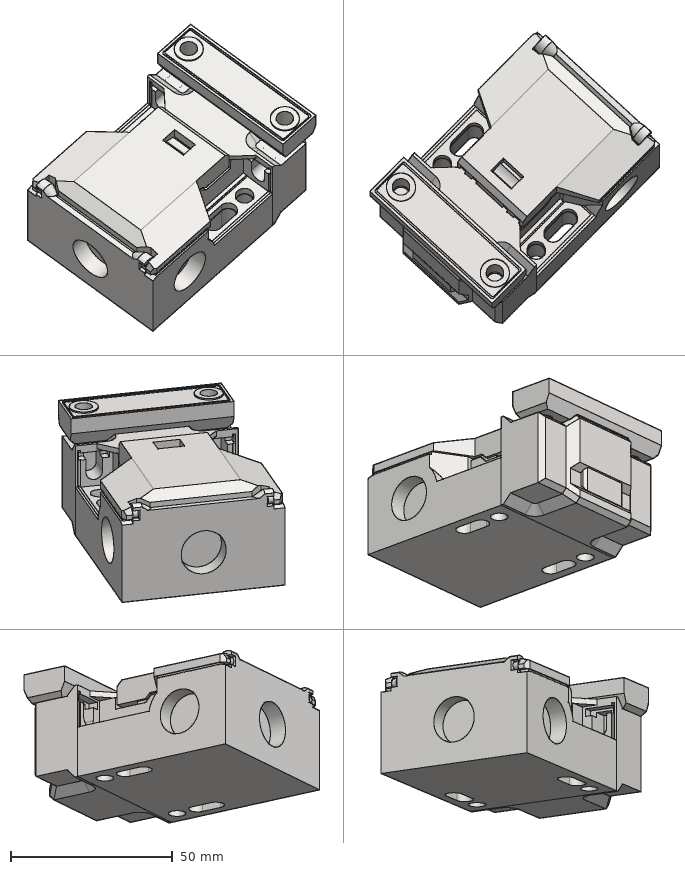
import cadquery as cq
import math


width = 52.2
length = 75.0
half_width = width / 2
split_y = 55.05
head_top_z = 30.0
slope_angle = 45.0

rim_z = 26.5
rear_step_z = 28.2
rear_step_y = 49.05
channel_z = 24.4
channel_front_y = 37.9
wall_x = 13.95
pocket_floor_z = 16.2
slant_outer_y = 25.5
slant_inner_y = 31.8
slant_inner_x = 15.2

screw_x = 20.0
mount_hole_y = 48.9
mount_hole_diameter = 5.7
mount_slot_y = 37.95
mount_slot_length = 12.45
mount_ledge = 0.15
mount_ledge_z = 13.2

floor_step_x = 25.3
floor_panel_x = 24.4
floor_panel_inner_x = 15.7
floor_step_inner_x = 15.2
floor_panel_y = 28.95
floor_step = 0.11

conduit_z = 13.95
conduit_y = 17.0
conduit_diameter = 14.4
conduit_depth = 5.6
conduit_boss_radius = 11.6

hinge_y = 1.8
hinge_z = 28.65
knuckle_radius = 3.2
knuckle_outer_x = 22.6
knuckle_inner_x = 19.65
cone_tip_x = 16.35
cone_tip_radius = 1.35
knuckle_clearance_y = 5.9
knuckle_clearance_x = 19.95
pin_radius = 1.4
pin_slot_radius = 1.65
pin_tip_x = 20.85
pin_slot_x = 20.4
rail_crest_y = 1.95
rail_back_y = 3.4

cover_half_width = 25.8
cover_bottom_z = 27.3
cover_edge_z = 30.0
cover_top_z = 33.5
cover_front_y = 0.5
cover_top_x = 13.95
cover_rear_y = 48.5
cover_slant_y = 26.8
cover_slant_inner_y = 33.45
cover_tongue_z = 25.65
cover_rear_chamfer = 1.9
front_slope_y = 7.9
front_slope_z = 31.1
lip_inset = 0.6
lip_front_y = 1.95
corner_bevel_height = 0.5
lip_tongue_half_width = 13.05
lip_rear_y = 41.5

window_half_width = 4.3
window_y = (38.1, 43.6)
window_floor_z = 29.8
latch_y = (39.5, 42.75)
latch_height = 0.75
latch_rise = 1.1

head_chamfer = 1.6
wing_drop = 3.0
wing_x = 14.85
wing_front_y = 59.0
recess_corner_radius = 1.2
tongue_half_width = 19.1
rib_spans = [(5.6, 7.5), (10.4, 12.6)]
seat_half_width = 4.9
seat_bottom_z = 25.05
seat_slot_top_z = 27.45
seat_slot_depth = 3.0
seat_channel_width = 5.3
seat_channel_z = 18.1
seat_channel_top_z = 26.6
seat_channel_depth = 7.5
groove_depth = 0.4
rear_groove_z = (4.1, 13.4)
rear_groove_depth = 2.1
plug_half_width = 9.0
plug_z = (5.2, 13.1)
plug_gap = 0.3
plug_bevel = 1.05

actuator_bottom_z = 27.75
actuator_top_z = 37.1
actuator_width = 15.15
actuator_taper_z = 32.1
actuator_taper = 2.0
actuator_end_chamfer = 1.6
key_groove = (50.4, 13.2)
key_groove_end_width = 0.3
key_groove_side_width = 0.6
key_groove_depth = 0.2
key_groove_radius = 0.6
bushing_diameter = 9.0
bushing_bore = 5.3
bushing_top_z = 37.6
bushing_seat_z = actuator_bottom_z + actuator_end_chamfer
actuator_y = length - actuator_width / 2

SIDES = (-1, 1)


def box(x0, x1, y0, y1, z0, z1):
    """Box between two corners; each pair may be given in either order."""
    size = (abs(x1 - x0), abs(y1 - y0), abs(z1 - z0))
    corner = (min(x0, x1), min(y0, y1), min(z0, z1))
    return cq.Workplane("XY").box(*size, centered=False).translate(corner)


def prism_along_x(points, x0, x1):
    """Prism of a (y, z) outline between two x values."""
    return cq.Workplane("YZ").workplane(offset=x0).polyline(points).close().extrude(x1 - x0)


def plate(points, z0, z1):
    """Prism of an (x, y) outline between two z values."""
    return cq.Workplane("XY").workplane(offset=z0).polyline(points).close().extrude(z1 - z0)


def rod_along_x(y, z, radius, x0, x1):
    """Cylinder along X between two x values."""
    return cq.Workplane("YZ", origin=(x0, y, z)).circle(radius).extrude(x1 - x0)


def both_sides(right):
    """A feature built on the +X side together with its mirror image."""
    return right.union(right.mirror("YZ"))


def symmetric(right_points):
    """Closed outline from its right half, mirrored about x = 0."""
    return right_points + [(-x, y) for x, y in reversed(right_points)]


def cover_outline():
    return symmetric([
        (cover_half_width, cover_front_y),
        (cover_half_width, cover_slant_y),
        (cover_top_x, cover_slant_inner_y),
        (cover_top_x, cover_rear_y),
    ])


def cover_body():
    """Roofed body with sloping sides and a tongue that dips at the rear."""
    roof = (
        cq.Workplane("XZ")
        .polyline(symmetric([
            (cover_half_width, cover_tongue_z),
            (cover_half_width, cover_edge_z),
            (cover_top_x, cover_top_z),
        ]))
        .close()
        .extrude(-length)
    )
    dip = cover_bottom_z - cover_tongue_z
    side = prism_along_x([
        (cover_front_y, cover_bottom_z),
        (channel_front_y - dip, cover_bottom_z),
        (channel_front_y, cover_tongue_z),
        (cover_rear_y, cover_tongue_z),
        (cover_rear_y, cover_top_z - cover_rear_chamfer),
        (cover_rear_y - cover_rear_chamfer, cover_top_z),
        (cover_front_y, cover_top_z),
    ], -half_width, half_width)
    return plate(cover_outline(), cover_tongue_z, cover_top_z).intersect(roof).intersect(side)


def cover_front_cuts():
    """Front slope, hinge rail clearance and clearances round the knuckles."""
    slope = prism_along_x([
        (front_slope_y, cover_top_z),
        (rail_back_y, front_slope_z),
        (rail_back_y, cover_bottom_z),
        (0, cover_bottom_z),
        (0, cover_top_z),
    ], -knuckle_outer_x, knuckle_outer_x)
    knuckle_room = plate([
        (cone_tip_x, 0),
        (knuckle_outer_x, 0),
        (knuckle_outer_x, knuckle_clearance_y),
        (knuckle_clearance_x, knuckle_clearance_y),
        (cone_tip_x, rail_back_y),
    ], cover_bottom_z, cover_top_z)
    return slope.union(both_sides(knuckle_room))


def cover_corner_cuts():
    """Bevelled front faces and outer corners beside the hinge."""
    bevel_y = 1.8
    bevel_z = (28.7, 30.75)
    bevel = prism_along_x([
        (cover_front_y, bevel_z[0]),
        (bevel_y, bevel_z[1]),
        (bevel_y, cover_top_z),
        (cover_front_y, cover_top_z),
    ], knuckle_outer_x, half_width)
    corner_x = 24.6
    corner_y = 2.2
    corner = plate([
        (corner_x, cover_front_y),
        (cover_half_width, corner_y),
        (cover_half_width, cover_front_y),
    ], cover_bottom_z, cover_top_z)
    return both_sides(bevel.union(corner))


def latch_window():
    """Window pocket that leaves a latch bar with a concave ramp on its floor."""
    pocket = box(-window_half_width, window_half_width, *window_y, window_floor_z, cover_top_z)
    low_z = window_floor_z + latch_height
    ramp_length = latch_y[1] - latch_y[0]
    ramp_radius = (ramp_length**2 + latch_rise**2) / (2 * latch_rise)
    bar = (
        cq.Workplane("YZ")
        .workplane(offset=-window_half_width)
        .moveTo(latch_y[1], window_floor_z)
        .lineTo(latch_y[1], low_z)
        .radiusArc((latch_y[0], low_z + latch_rise), ramp_radius)
        .lineTo(latch_y[0], window_floor_z)
        .close()
        .extrude(2 * window_half_width)
    )
    return pocket.cut(bar)


def make_cover():
    pin = rod_along_x(hinge_y, hinge_z, pin_radius, pin_tip_x, knuckle_outer_x)
    return (
        cover_body()
        .cut(cover_front_cuts())
        .cut(cover_corner_cuts())
        .cut(latch_window())
        .union(both_sides(pin))
    )


def housing_block():
    """Stepped block with the channel below the cover tongue."""
    drop = rim_z - channel_z
    return prism_along_x([
        (0, 0),
        (split_y, 0),
        (split_y, rear_step_z),
        (rear_step_y, rear_step_z),
        (rear_step_y, channel_z),
        (channel_front_y, channel_z),
        (channel_front_y - drop, rim_z),
        (0, rim_z),
    ], -half_width, half_width)


def mounting_pocket():
    """Open side pocket with a slanted front wall, a stepped floor and the conduit boss left in it."""
    pocket = plate([
        (half_width, slant_outer_y),
        (slant_inner_x, slant_inner_y),
        (wall_x, slant_inner_y),
        (wall_x, split_y),
        (half_width, split_y),
    ], pocket_floor_z, rear_step_z)
    boss = rod_along_x(conduit_y, conduit_z, conduit_boss_radius, wall_x, half_width)
    boss_rear_y = conduit_y + math.sqrt(
        conduit_boss_radius**2 - (pocket_floor_z - conduit_z) ** 2
    )
    shelf = box(
        floor_step_inner_x, floor_step_x,
        boss_rear_y, split_y,
        pocket_floor_z - floor_step, pocket_floor_z,
    )
    panel = box(
        floor_panel_inner_x, floor_panel_x,
        floor_panel_y, split_y,
        pocket_floor_z - 2 * floor_step, pocket_floor_z,
    )
    return pocket.cut(boss).union(shelf).union(panel)


def mounting_holes():
    """Round hole and slot, both slightly narrower in the lower part of the base."""
    def holes(diameter, top_z):
        base = cq.Workplane("XY")
        hole = base.center(screw_x, mount_hole_y).circle(diameter / 2).extrude(top_z)
        slot_length = mount_slot_length - mount_hole_diameter + diameter
        slot = base.center(screw_x, mount_slot_y).slot2D(slot_length, diameter, 90).extrude(top_z)
        return hole.union(slot)

    narrow = holes(mount_hole_diameter - 2 * mount_ledge, pocket_floor_z)
    wide = holes(mount_hole_diameter, pocket_floor_z)
    lower_part = box(0, half_width, 0, split_y, 0, mount_ledge_z)
    return narrow.union(wide.cut(lower_part))


def conduit_entries():
    """Blind round entries in the front face and in both side faces."""
    radius = conduit_diameter / 2
    front = cq.Workplane("XZ").center(0, conduit_z).circle(radius).extrude(-conduit_depth)
    side = rod_along_x(conduit_y, conduit_z, radius, half_width - conduit_depth, half_width)
    return front.union(both_sides(side))


def hinge_rail():
    """Rail along the front edge that ends in cones and slotted knuckles."""
    drop = rail_back_y - rail_crest_y
    rail = prism_along_x([
        (0, rim_z),
        (0, head_top_z),
        (rail_crest_y, head_top_z),
        (rail_back_y, head_top_z - drop),
        (rail_back_y, rim_z),
    ], -knuckle_outer_x, knuckle_outer_x)
    knuckle = rod_along_x(hinge_y, hinge_z, knuckle_radius, knuckle_inner_x, knuckle_outer_x)
    cone = cq.Workplane(cq.Solid.makeCone(
        cone_tip_radius, knuckle_radius, knuckle_inner_x - cone_tip_x,
        cq.Vector(cone_tip_x, hinge_y, hinge_z), cq.Vector(1, 0, 0),
    ))
    envelope = box(-half_width, half_width, 0, split_y, rim_z, cover_top_z)
    ends = both_sides(knuckle.union(cone)).intersect(envelope)
    pin_bore = rod_along_x(hinge_y, hinge_z, pin_slot_radius, pin_slot_x, knuckle_outer_x)
    pin_mouth = box(
        pin_slot_x, knuckle_outer_x, 0, hinge_y,
        hinge_z - pin_slot_radius, hinge_z + pin_slot_radius,
    )
    return rail.union(ends).cut(both_sides(pin_bore.union(pin_mouth)))


def sealing_lip():
    """Inset lip that fills the joint between the housing rim and the cover."""
    slant_rise = (slant_inner_y - slant_outer_y) / (half_width - slant_inner_x)
    outline = symmetric([
        (half_width - lip_inset, lip_front_y),
        (half_width - lip_inset, slant_outer_y + lip_inset * slant_rise),
        (slant_inner_x, slant_inner_y),
        (lip_tongue_half_width, slant_inner_y),
        (lip_tongue_half_width, lip_rear_y),
    ])
    return plate(outline, channel_z, cover_bottom_z)


def make_housing(cover):
    corner_bevel = prism_along_x(
        [(0, rim_z), (lip_front_y, rim_z), (0, rim_z - corner_bevel_height)],
        knuckle_outer_x, half_width,
    )
    return (
        housing_block()
        .union(sealing_lip())
        .union(hinge_rail())
        .cut(both_sides(mounting_pocket()))
        .cut(both_sides(mounting_holes()))
        .cut(conduit_entries())
        .cut(both_sides(corner_bevel))
        .cut(cover)
    )


def head_profile(shift, front_y):
    """Side outline with chamfered rear corners, moved inwards by shift."""
    rear_y = length - shift
    low_z = shift
    high_z = head_top_z - shift
    return [
        (front_y, low_z),
        (rear_y - head_chamfer, low_z),
        (rear_y, low_z + head_chamfer),
        (rear_y, high_z - head_chamfer),
        (rear_y - head_chamfer, high_z),
        (front_y, high_z),
    ]


def head_rear(front_y):
    """Full-height centre, sloped shoulders and lower wings."""
    shoulder_x = wing_x - wing_drop
    centre = prism_along_x(head_profile(0, front_y), -shoulder_x, shoulder_x)
    shoulder = (
        cq.Workplane("YZ").workplane(offset=shoulder_x)
        .polyline(head_profile(0, front_y)).close()
        .workplane(offset=wing_drop)
        .polyline(head_profile(wing_drop, front_y)).close()
        .loft(ruled=True)
    )
    wing = prism_along_x(head_profile(wing_drop, front_y), wing_x, half_width)
    wing_rear_y = length - wing_drop
    wing_bevel = plate([
        (half_width, wing_rear_y - head_chamfer),
        (half_width, wing_rear_y),
        (half_width - head_chamfer, wing_rear_y),
    ], 0, head_top_z)
    return centre.union(both_sides(shoulder.union(wing).cut(wing_bevel)))


def key_recess():
    """Flared recess with a rounded corner above one wing."""
    reach = half_width
    return (
        cq.Workplane("XY", origin=(wing_x + reach / 2, wing_front_y + reach / 2, head_top_z - wing_drop))
        .sketch().rect(reach, reach).vertices().fillet(recess_corner_radius).finalize()
        .extrude(wing_drop, taper=-slope_angle)
    )


def head_front(rear_y):
    """Full-width front slab with the flared key recesses above and below each wing."""
    slab = box(-half_width, half_width, split_y, rear_y, 0, head_top_z)
    upper = both_sides(key_recess())
    lower = upper.mirror("XY").translate((0, 0, head_top_z))
    return slab.cut(upper).cut(lower)


def tongue():
    """Roof plate that covers the rear of the housing, with small ribs against the cover."""
    tip_half_width = tongue_half_width - (split_y - rear_step_y)
    outline = symmetric([(tongue_half_width, split_y), (tip_half_width, rear_step_y)])
    roof = plate(outline, rear_step_z, head_top_z)
    for start, end in rib_spans:
        rib = box(start, end, cover_rear_y, rear_step_y, rear_step_z, head_top_z)
        roof = roof.union(both_sides(rib))
    return roof


def screw_seat():
    """Keyhole-shaped seat in the front face and the upright groove beside it."""
    radius = seat_channel_width / 2
    axis_z = seat_channel_z + radius
    channel_rear_y = split_y + seat_channel_depth
    slot = box(
        screw_x - seat_half_width, screw_x + seat_half_width,
        split_y, split_y + seat_slot_depth,
        seat_bottom_z, seat_slot_top_z,
    )
    channel = box(
        screw_x - radius, screw_x + radius, split_y, channel_rear_y, axis_z, seat_channel_top_z
    )
    bottom = (
        cq.Workplane("XZ", origin=(screw_x, split_y, axis_z))
        .circle(radius).extrude(-seat_channel_depth)
    )
    groove = box(
        floor_panel_x, floor_step_x,
        split_y, split_y + groove_depth,
        pocket_floor_z, rear_step_z,
    )
    return slot.union(channel).union(bottom).union(groove)


def rear_groove():
    """Bevelled groove across the rear face with a central plug left in it."""
    low_z, high_z = rear_groove_z
    floor_y = length - rear_groove_depth
    groove = prism_along_x([
        (length, low_z),
        (floor_y, low_z + rear_groove_depth),
        (floor_y, high_z - rear_groove_depth),
        (length, high_z),
    ], -half_width, half_width)
    depth = rear_groove_depth - plug_gap
    plug = prism_along_x([
        (length - plug_gap, plug_z[0]),
        (floor_y, plug_z[0] + depth),
        (floor_y, plug_z[1] - depth),
        (length - plug_gap, plug_z[1]),
    ], -plug_half_width, plug_half_width)
    bevelled_ends = plate(symmetric([
        (plug_half_width, floor_y),
        (plug_half_width, length - plug_gap - plug_bevel),
        (plug_half_width - plug_bevel, length - plug_gap),
    ]), 0, head_top_z)
    return groove.cut(plug.intersect(bevelled_ends))


def make_head():
    joint_y = wing_front_y + recess_corner_radius
    return (
        head_front(joint_y)
        .union(head_rear(joint_y))
        .union(tongue())
        .cut(both_sides(screw_seat()))
        .cut(rear_groove())
    )


def key_groove_ring():
    """Narrow groove that runs round the top face."""
    def slab(x_size, y_size, radius):
        return (
            cq.Workplane("XY", origin=(0, actuator_y, actuator_top_z - key_groove_depth))
            .rect(x_size, y_size).extrude(key_groove_depth)
            .edges("|Z").fillet(radius)
        )

    outer = slab(*key_groove, key_groove_radius)
    inner = slab(
        key_groove[0] - 2 * key_groove_end_width,
        key_groove[1] - 2 * key_groove_side_width,
        key_groove_radius,
    )
    return outer.cut(inner)


def actuator_cylinder(side, diameter, z0, z1):
    """Upright cylinder on one of the two screw axes of the actuator."""
    base = cq.Workplane("XY", origin=(side * screw_x, actuator_y, z0))
    return base.circle(diameter / 2).extrude(z1 - z0)


def make_bushing(side):
    sleeve = actuator_cylinder(side, bushing_diameter, bushing_seat_z, bushing_top_z)
    return sleeve.cut(actuator_cylinder(side, bushing_bore, bushing_seat_z, bushing_top_z))


def make_actuator():
    front_y = length - actuator_width
    body = prism_along_x([
        (front_y + actuator_taper, actuator_bottom_z),
        (length - actuator_taper, actuator_bottom_z),
        (length, actuator_taper_z),
        (length, actuator_top_z),
        (front_y, actuator_top_z),
        (front_y, actuator_taper_z),
    ], -half_width, half_width)
    end_bevel = (
        cq.Workplane("XZ")
        .polyline([
            (half_width - actuator_end_chamfer, actuator_bottom_z),
            (half_width, actuator_bottom_z),
            (half_width, actuator_bottom_z + actuator_end_chamfer),
        ])
        .close()
        .extrude(-length)
    )
    saddle_depth = head_top_z - actuator_bottom_z
    saddle_top_x = wing_x - wing_drop
    saddle = (
        cq.Workplane("XZ")
        .polyline(symmetric([
            (saddle_top_x + saddle_depth, actuator_bottom_z),
            (saddle_top_x, head_top_z),
        ]))
        .close()
        .extrude(-length)
    )
    body = body.cut(both_sides(end_bevel)).cut(saddle).cut(key_groove_ring())
    for side in SIDES:
        seat = actuator_cylinder(side, bushing_diameter, bushing_seat_z, actuator_top_z)
        bore = actuator_cylinder(side, bushing_bore, actuator_bottom_z, actuator_top_z)
        body = body.cut(seat).cut(bore)
    return body


cover = make_cover()
housing = make_housing(cover)
head = make_head()
actuator = make_actuator()
bushings = [make_bushing(side) for side in SIDES]

result = cq.Compound.makeCompound([
    housing.solids().val(),
    cover.solids().val(),
    head.solids().val(),
    actuator.solids().val(),
    *[bushing.solids().val() for bushing in bushings],
])